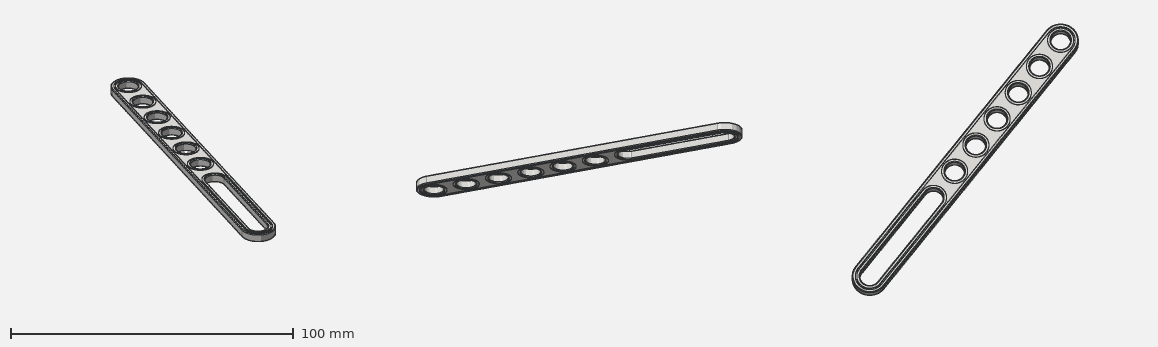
import cadquery as cq

length = 125.0
width = 12.5
thickness = 3.1
edge_chamfer = 0.31

pitch = width
hole_count = 6
hole_diameter = 7.0

rim_width = 1.1
recess_depth = 0.19

end_center_x = length / 2 - width / 2
hole_points = [(-end_center_x + i * pitch, 0) for i in range(hole_count)]
slot_left_x = -end_center_x + hole_count * pitch
slot_right_x = end_center_x
slot_spacing = slot_right_x - slot_left_x
slot_center_x = (slot_left_x + slot_right_x) / 2


def opening_columns(diameter, height):
    """Solid columns standing on every hole and on the slot, each as wide as the diameter."""
    holes = cq.Workplane("XY").pushPoints(hole_points).circle(diameter / 2).extrude(height)
    slot = (
        cq.Workplane("XY")
        .center(slot_center_x, 0)
        .slot2D(slot_spacing + diameter, diameter)
        .extrude(height)
    )
    return holes.union(slot)


def recess(bottom_z):
    """Recess volume between the outer rim and the rims round the openings."""
    inside = (
        cq.Workplane("XY")
        .slot2D(length - 2 * rim_width, width - 2 * rim_width)
        .extrude(recess_depth)
    )
    rims = opening_columns(hole_diameter + 2 * rim_width, recess_depth)
    return inside.cut(rims).translate((0, 0, bottom_z))


bar = cq.Workplane("XY").slot2D(length, width).extrude(thickness)
bar = bar.cut(opening_columns(hole_diameter, thickness))
bar = bar.faces("<Z or >Z").edges().chamfer(edge_chamfer)

for recess_bottom_z in (0, thickness - recess_depth):
    bar = bar.cut(recess(recess_bottom_z))

result = bar